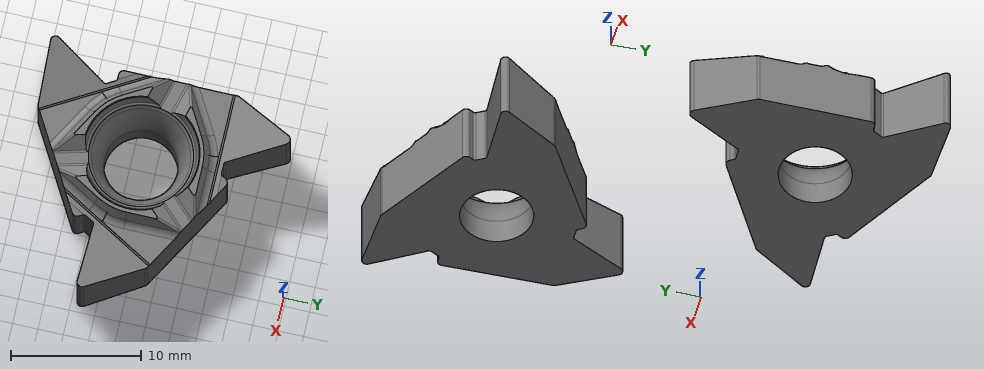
import cadquery as cq
import math

base_height = 5.0
tip_height = 5.81
hub_height = 6.05
ledge_height = 5.26

side_distance = 6.36
tip_center = (-3.62, 10.52)
tip_radius = 0.4
tooth_half_angle = 28.0
root_level = 6.32
nub_length = 3.13
shoulder_radius = 0.5
tooth_root_radius = 0.2
nub_root_radius = 0.24
nub_radius = 0.41

fold_level = 5.9
fold_blend = 0.08
nub_fold_level = 6.38

slot_floor_width = 1.06
slot_top_width = 3.27
slot_floor_round = 0.3
slot_edge_round = 0.15
slot_angle = 45.0

hub_distance = 4.83
hub_taper = 33.0
hub_arc_sweep = 30
side_foot_radius = 0.69
nub_foot_radius = 0.93
nub_foot_sector = (slot_angle, 103)

lip_radius = 4.53
cone_foot_radius = 4.2
seat_rim_radius = 4.04
seat_top_radius = 3.82
bore_radius = 5.7 / 2
seat_top_height = 5.0
seat_bottom_height = 2.17
ledge_round = 0.15
lip_break = 0.05

third = 120
third_turns = (0, third, 2 * third)

far = 3 * side_distance
tall = 2 * hub_height


def turned(point, degrees):
    """Turn a point about the part axis."""
    a = math.radians(degrees)
    x, y = point
    return (x * math.cos(a) - y * math.sin(a), x * math.sin(a) + y * math.cos(a))


def three_around(body):
    """The body together with its two copies about the part axis."""
    copies = [body.rotate((0, 0, 0), (0, 0, 1), turn) for turn in third_turns]
    return copies[0].union(copies[1]).union(copies[2])


def outline_prism():
    """The plate outline as a straight prism, taller than the part."""
    half = math.radians(tooth_half_angle)
    apex = (tip_center[0], tip_center[1] + tip_radius / math.sin(half))
    shoulder_drop = (apex[0] + side_distance) / math.tan(half)
    shoulder = (-side_distance, apex[1] - shoulder_drop)
    tooth_root = (apex[0] + (apex[1] - root_level) * math.tan(half), root_level)
    nub_corner = turned((-side_distance, -nub_length), -third)
    face_angle = math.radians(third / 2)
    nub_root_x = nub_corner[0] - (nub_corner[1] - root_level) / math.tan(face_angle)
    nub_root = (nub_root_x, root_level)

    corners = [shoulder, apex, tooth_root, nub_root, nub_corner]
    radii = [shoulder_radius, tip_radius, tooth_root_radius, nub_root_radius, nub_radius]
    points = [turned(p, -turn) for turn in third_turns for p in corners]
    prism = cq.Workplane("XY").polyline(points).close().extrude(tall)
    for point, radius in zip(points, radii * len(third_turns)):
        edge = cq.selectors.NearestToPointSelector((point[0], point[1], tall / 2))
        prism = prism.edges("|Z").edges(edge).fillet(radius)
    return prism


def raised_tops():
    """Tooth tops that rise from the fold to the tip, and the slightly raised nub tops."""
    tip_level = tip_center[1] + tip_radius
    slope = math.atan2(tip_height - base_height, tip_level - fold_level)
    blend_end = (fold_level + fold_blend * math.cos(slope), base_height + fold_blend * math.sin(slope))
    nub_height = base_height + (nub_fold_level - fold_level) * math.tan(slope)

    def risen(profile_points, width):
        """Extrude a side profile: the rounded fold, then the given points."""
        profile = (
            cq.Workplane("YZ")
            .moveTo(fold_level - fold_blend, 0)
            .lineTo(fold_level - fold_blend, base_height)
            .tangentArcPoint(blend_end, relative=False)
        )
        for point in profile_points:
            profile = profile.lineTo(*point)
        return profile.close().extrude(width)

    tooth_top = risen([(tip_level, tip_height), (tip_level, 0)], -far)
    nub_top = risen([(nub_fold_level, nub_height), (tip_level, nub_height), (tip_level, 0)], far)
    return three_around(tooth_top.union(nub_top))


def hub_reach(height):
    """Distance from the bore axis to the hub's sloping sides at a given height."""
    return hub_distance + (hub_height - height) * math.tan(math.radians(hub_taper))


def hub_with_foot(foot_radius):
    """Slotted, tapered hub on a wide slab, joined by a foot fillet."""
    foot = hub_reach(base_height)
    sketch = cq.Workplane("XY", origin=(0, 0, base_height))
    for turn in third_turns:
        arc_start = turned((0, foot), hub_arc_sweep - turn)
        arc_mid = turned((0, foot), hub_arc_sweep / 2 - turn)
        arc_end = turned((0, foot), -turn)
        corner = turned((foot, foot), -turn)
        sketch = sketch.moveTo(*arc_start) if turn == 0 else sketch.lineTo(*arc_start)
        sketch = sketch.threePointArc(arc_mid, arc_end).lineTo(*corner)
    cone = sketch.close().extrude(hub_height - base_height, taper=hub_taper)
    slab = cq.Workplane("XY").circle(far).extrude(base_height)
    reach = 2 * foot
    foot_edges = cq.selectors.BoxSelector((-reach, -reach, 0), (reach, reach, ledge_height), boundingbox=True)
    body = slab.union(cone).edges(foot_edges).fillet(foot_radius)
    return round_slot_edges(body.cut(slots()))


def hub():
    """Hub with the wider foot on its three nub sides, before it is trimmed to the outline."""
    sector = [(0, 0)] + [turned((far, 0), angle) for angle in nub_foot_sector]
    nub_side = cq.Workplane("XY").polyline(sector).close().extrude(tall)
    nub_sides = three_around(nub_side)
    wide_foot = hub_with_foot(nub_foot_radius).intersect(nub_sides)
    return hub_with_foot(side_foot_radius).cut(nub_sides).union(wide_foot)


def slots():
    """Three radial slots with sloping walls across the hub corners."""
    section = [
        (-slot_floor_width / 2, ledge_height),
        (slot_floor_width / 2, ledge_height),
        (slot_top_width / 2, hub_height),
        (-slot_top_width / 2, hub_height),
    ]
    slot = cq.Workplane("YZ").polyline(section).close().extrude(far)
    slot = slot.edges("|X").edges("<Z").fillet(slot_floor_round)
    return three_around(slot.rotate((0, 0, 0), (0, 0, 1), slot_angle))


def bore():
    """Cavity of the stepped recess, the flared screw seat and the through bore."""
    rise = seat_top_height - seat_bottom_height
    spread = seat_top_radius - bore_radius
    seat_radius = (rise**2 + spread**2) / (2 * spread)
    half_sweep = math.asin(rise / seat_radius) / 2
    seat_middle = (
        bore_radius + seat_radius * (1 - math.cos(half_sweep)),
        seat_bottom_height + seat_radius * math.sin(half_sweep),
    )
    cavity = (
        cq.Workplane("XZ")
        .lineTo(bore_radius, 0)
        .lineTo(bore_radius, seat_bottom_height)
        .threePointArc(seat_middle, (seat_top_radius, seat_top_height))
        .lineTo(seat_rim_radius, ledge_height)
        .lineTo(cone_foot_radius, ledge_height)
        .lineTo(lip_radius - lip_break, hub_height - lip_break)
        .lineTo(lip_radius, hub_height)
        .lineTo(0, hub_height)
        .close()
        .revolve(360, (0, 0, 0), (0, 1, 0))
    )
    return cavity.edges(cq.selectors.RadiusNthSelector(3)).fillet(ledge_round)


def round_slot_edges(body):
    """Round the edges where the slot walls meet the hub's sloping sides."""
    height = (hub_height + ledge_height) / 2
    across = (slot_floor_width + slot_top_width) / 4
    reach = hub_reach(height)
    near = reach - across * math.sqrt(2)
    for turn in third_turns:
        for corner_point in ((reach, near), (near, reach)):
            x, y = turned(corner_point, turn)
            body = body.edges(cq.selectors.NearestToPointSelector((x, y, height))).fillet(slot_edge_round)
    return body


blank = hub().union(raised_tops())
result = blank.intersect(outline_prism()).cut(bore())